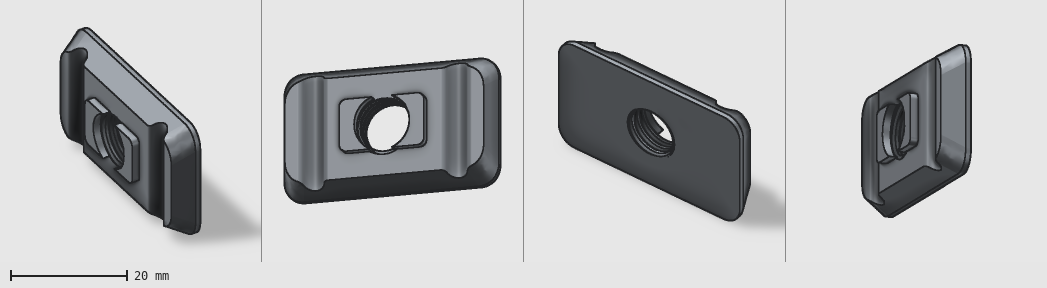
import cadquery as cq
import math

LENGTH = 38.9
WIDTH = 22.85
PLATE_DEPTH = 5.0
RIM_DEPTH = 1.0
END_TAPER = math.radians(20)
SIDE_TAPER = math.radians(30)
CORNER_RADIUS = 4.0

GROOVE_OFFSET = 13.0
GROOVE_RADIUS = 2.0
GROOVE_LIP_RADIUS = 1.0

TOTAL_DEPTH = 6.5
PAD_LENGTH = 15.33
PAD_WIDTH = 9.3
PAD_CORNER_RADIUS = 1.2
PAD_BORE_DIAMETER = 10.0

THREAD_MINOR_DIAMETER = 9.35
THREAD_MAJOR_DIAMETER = 10.7
THREAD_PITCH = 1.5
THREAD_ROOT_FLAT = 0.08
THREAD_FLANK_ANGLE = math.radians(30)
THREAD_SPARE_TURNS = 1
THREAD_OVERLAP = 0.08


def make_plate():
    """Tapered body with rounded slanting corners, on a straight rim of the same outline."""
    taper_depth = PLATE_DEPTH - RIM_DEPTH
    front_length = LENGTH - 2 * taper_depth * math.tan(END_TAPER)
    front_width = WIDTH - 2 * taper_depth * math.tan(SIDE_TAPER)
    body = (
        cq.Workplane("XZ", origin=(0, -RIM_DEPTH, 0))
        .rect(LENGTH, WIDTH)
        .workplane(offset=taper_depth)
        .rect(front_length, front_width)
        .loft(ruled=True)
    )
    body = body.edges("not(|X or |Z)").fillet(CORNER_RADIUS)
    rim = body.faces(">Y").wires().toPending().workplane().extrude(RIM_DEPTH, combine=False)
    return body.union(rim)


def make_groove(x):
    """Half-round groove cutter whose lips flare tangentially into the front face."""
    centre_distance = GROOVE_RADIUS + GROOVE_LIP_RADIUS
    lip_x = math.sqrt(centre_distance**2 - GROOVE_LIP_RADIUS**2)
    tangent_x = lip_x * GROOVE_RADIUS / centre_distance
    tangent_y = GROOVE_LIP_RADIUS * GROOVE_RADIUS / centre_distance
    return (
        cq.Workplane("XY", origin=(x, -PLATE_DEPTH, -WIDTH / 2))
        .moveTo(-lip_x, 0)
        .radiusArc((-tangent_x, tangent_y), -GROOVE_LIP_RADIUS)
        .threePointArc((0, GROOVE_RADIUS), (tangent_x, tangent_y))
        .radiusArc((lip_x, 0), -GROOVE_LIP_RADIUS)
        .close()
        .extrude(WIDTH)
    )


def make_thread():
    """Helical V cutter, deepest at the -Z side of the hole on the front face."""
    inner_radius = THREAD_MINOR_DIAMETER / 2 - THREAD_OVERLAP
    outer_radius = THREAD_MAJOR_DIAMETER / 2
    root_half = THREAD_ROOT_FLAT / 2
    mouth_half = root_half + (outer_radius - inner_radius) * math.tan(THREAD_FLANK_ANGLE)
    turns = math.ceil(PLATE_DEPTH / THREAD_PITCH) + 2 * THREAD_SPARE_TURNS
    length = turns * THREAD_PITCH
    path = cq.Wire.makeHelix(THREAD_PITCH, length, inner_radius)
    cutter = (
        cq.Workplane("XZ")
        .polyline([
            (inner_radius, -mouth_half),
            (outer_radius, -root_half),
            (outer_radius, root_half),
            (inner_radius, mouth_half),
        ])
        .close()
        .sweep(cq.Workplane(path), isFrenet=True)
    )
    cutter = cutter.rotate((0, 0, 0), (1, 0, 0), -90).rotate((0, 0, 0), (0, 1, 0), 90)
    return cutter.translate((0, -PLATE_DEPTH - THREAD_SPARE_TURNS * THREAD_PITCH, 0))


def make_pad():
    """Rounded rectangular pad, split in two halves by its wide bore."""
    return (
        cq.Workplane("XZ", origin=(0, -PLATE_DEPTH, 0))
        .rect(PAD_LENGTH, PAD_WIDTH)
        .extrude(TOTAL_DEPTH - PLATE_DEPTH)
        .edges("|Y")
        .fillet(PAD_CORNER_RADIUS)
        .cut(
            cq.Workplane("XZ", origin=(0, -PLATE_DEPTH, 0))
            .circle(PAD_BORE_DIAMETER / 2)
            .extrude(TOTAL_DEPTH - PLATE_DEPTH)
        )
    )


plate = make_plate()
for side in (-1, 1):
    plate = plate.cut(make_groove(side * GROOVE_OFFSET))
plain_hole = cq.Workplane("XZ").circle(THREAD_MINOR_DIAMETER / 2).extrude(PLATE_DEPTH)
plate = plate.cut(make_thread()).cut(plain_hole)

result = plate.union(make_pad())